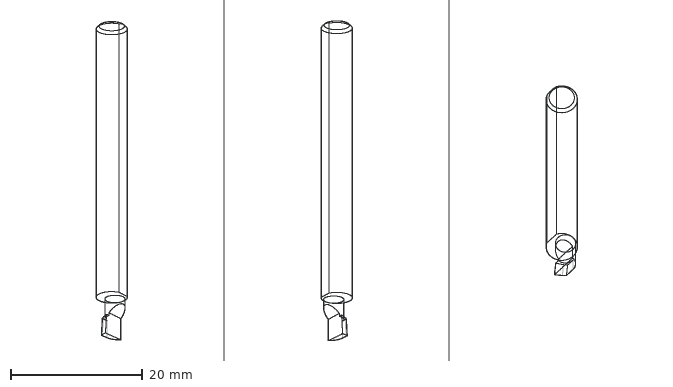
import cadquery as cq
import math

total_length = 50.8
shank_diameter = 4.75
shank_radius = shank_diameter / 2
shank_depth = 4.5
flat_y = shank_depth - shank_radius
shank_bottom_z = 6.35
end_chamfer = 0.45

neck_diameter = 3.1
neck_radius = neck_diameter / 2
neck_x = shank_radius - neck_radius

relief_top_z = 3.6
relief_angle = 45.0

head_top_z = 3.15
tip_x = -1.6
heel_x = -0.99
heel_y = -1.05
front_start_x = -0.6
head_side_angle = 5.0
corner_chamfer = 0.125

end_clearance_angle = 10.0
end_side_angle = 2.0


def make_shank():
    shank = (
        cq.Workplane("XZ")
        .moveTo(0, shank_bottom_z)
        .lineTo(shank_radius, shank_bottom_z)
        .lineTo(shank_radius, total_length - end_chamfer)
        .lineTo(shank_radius - end_chamfer, total_length)
        .lineTo(0, total_length)
        .close()
        .revolve(360, (0, 0, 0), (0, 1, 0))
    )
    flat_cutter = cq.Workplane("XY").box(
        shank_diameter, shank_diameter, total_length, centered=(True, False, False)
    )
    return shank.cut(flat_cutter.translate((0, flat_y, 0)))


def make_neck():
    neck = cq.Workplane("XY").center(neck_x, 0).circle(neck_radius).extrude(shank_bottom_z)
    ramp_rise = neck_diameter * math.tan(math.radians(relief_angle))
    relief = (
        cq.Workplane("YZ")
        .polyline([
            (0, 0),
            (neck_diameter, 0),
            (neck_diameter, relief_top_z + ramp_rise),
            (0, relief_top_z),
        ])
        .close()
        .extrude(shank_diameter, both=True)
    )
    return neck.cut(relief)


def head_outline(lean):
    """Head cross-section, with its clearance faces shifted along X by lean."""
    return [
        (tip_x + lean, 0),
        (heel_x + lean, heel_y),
        (front_start_x + lean, -neck_radius),
        (neck_x, -neck_radius),
        (neck_x, 0),
    ]


def make_head():
    top_lean = head_top_z * math.tan(math.radians(head_side_angle))
    head = (
        cq.Workplane("XY")
        .polyline(head_outline(0))
        .close()
        .workplane(offset=head_top_z)
        .polyline(head_outline(top_lean))
        .close()
        .loft(ruled=True, combine=True)
    )
    corner_cutter = (
        cq.Workplane("XZ")
        .polyline([(tip_x, 0), (tip_x + corner_chamfer, 0), (tip_x, corner_chamfer)])
        .close()
        .extrude(neck_radius)
    )
    return head.cut(corner_cutter)


def make_end_cutter():
    """Block whose tilted upper face forms the end face below the tip."""
    block = cq.Workplane("XY").box(
        4 * shank_diameter, 4 * shank_diameter, shank_diameter, centered=(True, True, False)
    )
    block = block.translate((0, 0, -shank_diameter))
    block = block.rotate((0, 0, 0), (1, 0, 0), -end_clearance_angle)
    block = block.rotate((0, 0, 0), (0, 1, 0), -end_side_angle)
    return block.translate((tip_x + corner_chamfer, 0, 0))


cutting_end = make_neck().union(make_head()).cut(make_end_cutter())
result = make_shank().union(cutting_end)